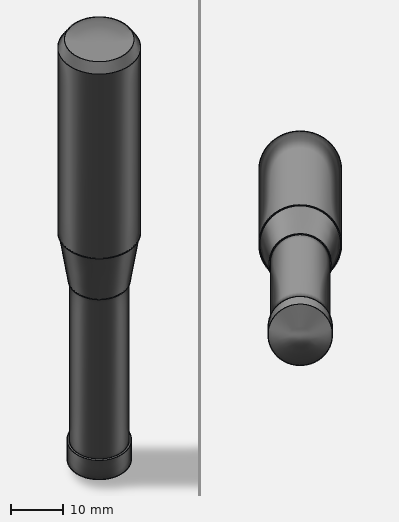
import cadquery as cq
import math

total_length = 107.2

head_radius = 12.3 / 2
head_length = 4.8
point_angle = 140.0
point_height = head_radius / math.tan(math.radians(point_angle / 2))
head_top = point_height + head_length

handle_radius = 15.9 / 2
handle_bottom = total_length - 48.3
end_chamfer_height = 2.0
end_chamfer_width = 1.3
neck_radius = 11.5 / 2
neck_top = total_length - 60.2
step_width = 0.2


def revolve_profile(points):
    """Turn a closed (radius, height) outline around the Z axis."""
    return cq.Workplane("XZ").polyline(points).close().revolve(360, (0, 0, 0), (0, 1, 0))


def make_head():
    """Cylindrical cutting head with a conical point."""
    return revolve_profile([
        (0, 0),
        (head_radius, point_height),
        (head_radius, head_top),
        (0, head_top),
    ])


def make_shank():
    """Neck, taper and chamfered handle, seated on the flat top of the head."""
    return revolve_profile([
        (0, head_top),
        (neck_radius, head_top),
        (neck_radius, neck_top),
        (neck_radius + step_width, neck_top),
        (handle_radius - step_width, handle_bottom),
        (handle_radius, handle_bottom),
        (handle_radius, total_length - end_chamfer_height),
        (handle_radius - end_chamfer_width, total_length),
        (0, total_length),
    ])


head = make_head()
shank = make_shank()

result = cq.Compound.makeCompound([head.val(), shank.val()])